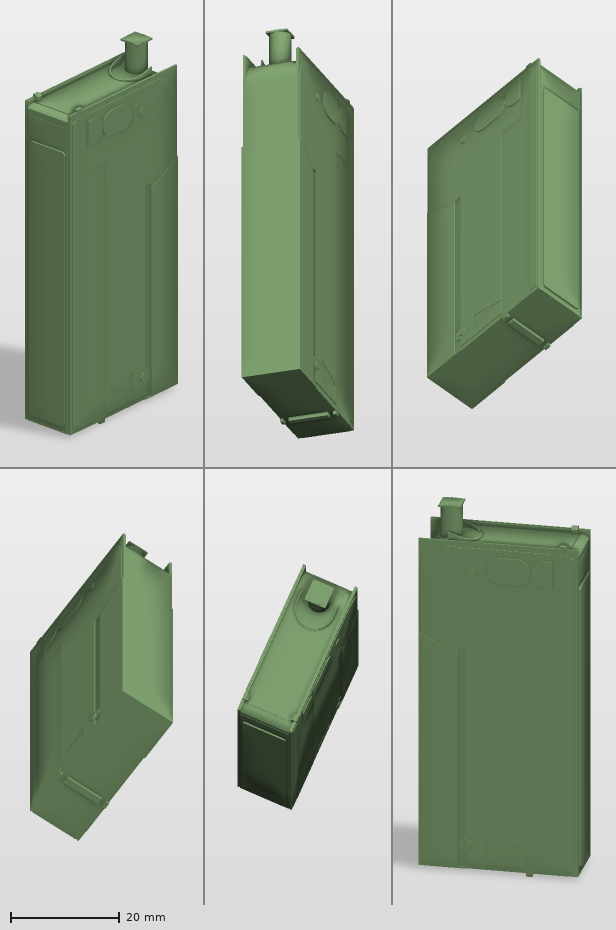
import cadquery as cq

total_width = 11.6
total_depth = 30.45
total_height = 71.3
back_y = total_depth / 2
panel_front_y = -total_depth / 2

case_width = 9.85
case_bottom_z = 0.7
case_top_z = 64.9
panel_proud = 0.3
front_y = panel_front_y + panel_proud
back_fillet = 5.0
brow_start_y = -13.35
brow_end_z = 64.2
brow_band_bottom_z = 63.0
brow_band_depth = 0.1

foot_width = 7.7
foot_front_y = -6.35
foot_back_y = -5.05

top_groove_width = 0.35
top_groove_depth = 0.15
top_groove_y = -12.9

recess_width = 9.0
recess_bottom_z = 1.0
recess_top_z = 58.85
recess_depth = 0.1
panel_width = 8.7
panel_bottom_z = 2.1
panel_top_z = 58.0
panel_corner = 0.7

pin_y = 10.1
pin_radius = 2.105
pin_seat_depth = 1.4
pin_cap_thickness = 0.35
pin_tip_height = 0.1

rim_reach = 5.6
rim_inner_half = 3.5
rim_outer_half = 3.8
rim_groove_half = 4.2
rim_groove_depth = 0.15
rim_top_z = 66.6

plate_inner_x = case_width / 2
base_x = 5.5
front_field_x = 5.55
field_x = 5.6
grip_pad_x = 5.7
button_x = total_width / 2
plate_top_z = 65.75
plate_ledge_x = 5.2
plate_ledge_drop = 0.15

top_tab_inner_x = 4.35
top_tab_front_y = -12.8
top_tab_back_y = -11.5
top_tab_top_z = 66.25
top_tab_chamfer = 0.4

field_back_y = 14.75
field_front_y = -14.3
field_top_z = 64.6
field_back_radius = 4.6
field_bevel_y = -12.6
field_bevel_z = 63.8
field_bottom_z = 1.85

front_field_y = -4.9
front_field_step_y = -10.1
front_field_step_z = 52.7

pad_back_z = 47.2
pad_front_z = 42.15
slot_front_y = 6.1
slot_back_y = 7.8
slot_bottom_z = 1.0
slot_top_z = 44.3
slot_island_radius = 1.4

button_bottom_z = 58.0
button_top_z = 63.1
long_button_back_y = 2.3
long_button_front_y = -5.9
open_button_back_y = -6.05

stud_radius = 0.85
upper_stud = (5.3, 59.7)
lower_stud = (5.6, 5.5)

arrow_base_y = 2.65
arrow_tip_y = -5.05
arrow_z = 5.55
arrow_half_height = 2.1


def block(x0, x1, y0, y1, z0, z1):
    """Box between two opposite corners."""
    return cq.Workplane("XY").box(x1 - x0, y1 - y0, z1 - z0, centered=False).translate((x0, y0, z0))


def side_sketch(x):
    """Workplane on the side of the part at distance x, drawn in (Y, Z)."""
    return cq.Workplane("YZ", origin=(x, 0, 0))


def outlet_shape(half_width, bottom_z, top_z):
    """U-shaped prism: open to the back, with a round front end ahead of the pin."""
    front = pin_y - rim_reach - (half_width - rim_outer_half)
    arc_centre_y = front + half_width
    return (
        cq.Workplane("XY", origin=(0, 0, bottom_z))
        .moveTo(-half_width, back_y)
        .lineTo(-half_width, arc_centre_y)
        .threePointArc((0, front), (half_width, arc_centre_y))
        .lineTo(half_width, back_y)
        .close()
        .extrude(top_z - bottom_z)
    )


def outlet_rim():
    """Thin wall in front of the pin axis; its top slopes down to the case."""
    wall = outlet_shape(rim_outer_half, case_top_z - rim_groove_depth, rim_top_z)
    wall = wall.cut(outlet_shape(rim_inner_half, case_top_z - rim_groove_depth, rim_top_z))
    slope = (
        side_sketch(-rim_outer_half)
        .polyline([
            (pin_y, case_top_z - rim_groove_depth),
            (pin_y, rim_top_z),
            (pin_y - rim_reach, case_top_z),
            (pin_y - rim_reach, case_top_z - rim_groove_depth),
        ])
        .close()
        .extrude(2 * rim_outer_half)
    )
    return wall.intersect(slope)


def front_panel():
    """Rounded panel standing in the front recess."""
    thickness = panel_proud + recess_depth
    return (
        block(-panel_width / 2, panel_width / 2, panel_front_y, panel_front_y + thickness,
              panel_bottom_z, panel_top_z)
        .edges("|Y")
        .fillet(panel_corner)
    )


def case_block():
    """Block with a round top back edge and a shallow arched brow above its front face."""
    brow_run = brow_start_y - front_y
    brow_drop = case_top_z - brow_end_z
    brow_radius = (brow_run**2 + brow_drop**2) / (2 * brow_drop)
    return (
        side_sketch(-case_width / 2)
        .moveTo(front_y, case_bottom_z)
        .lineTo(front_y, brow_end_z)
        .radiusArc((brow_start_y, case_top_z), brow_radius)
        .lineTo(back_y - back_fillet, case_top_z)
        .radiusArc((back_y, case_top_z - back_fillet), back_fillet)
        .lineTo(back_y, case_bottom_z)
        .close()
        .extrude(case_width)
    )


def outlet_groove():
    """Shallow groove around the outlet that follows the top and the round back edge."""
    ring = outlet_shape(rim_groove_half, case_top_z - back_fillet, case_top_z)
    ring = ring.cut(outlet_shape(rim_inner_half, case_top_z - back_fillet, case_top_z))
    return ring.cut(case_block().translate((0, 0, -rim_groove_depth)))


def make_case():
    """Case with its front panel, outlet rim, foot bar and a round seat for the pin."""
    half = case_width / 2
    case = case_block()
    case = case.cut(block(-half, half, front_y, front_y + brow_band_depth, brow_band_bottom_z, case_top_z))

    case = case.cut(block(-recess_width / 2, recess_width / 2, front_y, front_y + recess_depth,
                          recess_bottom_z, recess_top_z))
    case = case.union(front_panel())

    case = case.cut(block(-half, half, top_groove_y - top_groove_width, top_groove_y,
                          case_top_z - top_groove_depth, case_top_z))

    case = case.cut(outlet_groove()).union(outlet_rim())

    case = case.union(block(-foot_width / 2, foot_width / 2, foot_front_y, foot_back_y, 0, case_bottom_z))

    seat = (
        cq.Workplane("XY", origin=(0, pin_y, case_top_z - pin_seat_depth))
        .circle(pin_radius)
        .extrude(pin_seat_depth)
    )
    return case.cut(seat)


def make_pin():
    """Round pin whose tip stands just above a thin square cap as wide as the pin."""
    cap_top_z = total_height - pin_tip_height
    seat_z = case_top_z - pin_seat_depth
    shaft = cq.Workplane("XY", origin=(0, pin_y, seat_z)).circle(pin_radius).extrude(total_height - seat_z)
    cap = (
        cq.Workplane("XY", origin=(0, pin_y, cap_top_z - pin_cap_thickness))
        .rect(2 * pin_radius, 2 * pin_radius)
        .extrude(pin_cap_thickness)
    )
    return shaft.union(cap)


def plate_field():
    """Slightly raised area of the plate, round at the top back corner and bevelled at the front."""
    corner_y = field_back_y - field_back_radius
    corner_z = field_top_z - field_back_radius
    return (
        side_sketch(base_x)
        .moveTo(field_front_y, case_bottom_z)
        .lineTo(field_front_y, field_bevel_z)
        .lineTo(field_bevel_y, field_top_z)
        .lineTo(corner_y, field_top_z)
        .radiusArc((field_back_y, corner_z), field_back_radius)
        .lineTo(field_back_y, case_bottom_z)
        .close()
        .extrude(field_x - base_x)
    )


def front_field():
    """Stepped area along the front, a little lower than the rest of the field."""
    return (
        side_sketch(front_field_x)
        .polyline([
            (front_field_y, case_bottom_z),
            (front_field_y, front_field_step_z),
            (front_field_step_y, front_field_step_z),
            (front_field_step_y, field_top_z),
            (field_bevel_y, field_top_z),
            (field_bevel_y, case_bottom_z),
        ])
        .close()
        .extrude(field_x - front_field_x)
    )


def grip_pad():
    """Raised lower back area with a sloping upper edge."""
    return (
        side_sketch(base_x)
        .polyline([
            (back_y, case_bottom_z),
            (back_y, pad_back_z),
            (slot_front_y, pad_front_z),
            (slot_front_y, case_bottom_z),
        ])
        .close()
        .extrude(grip_pad_x - base_x)
    )


def pad_slot():
    """Upright slot along the front of the grip pad, leaving a half-round island."""
    slot = block(base_x, grip_pad_x, slot_front_y, slot_back_y, slot_bottom_z, slot_top_z)
    island = (
        side_sketch(base_x)
        .center(slot_front_y, lower_stud[1])
        .circle(slot_island_radius)
        .extrude(field_x - base_x)
    )
    return slot.cut(island)


def buttons():
    """A full oval and, in front of it, an oval cut off at the stepped area."""
    height = button_top_z - button_bottom_z
    radius = height / 2
    middle_z = (button_top_z + button_bottom_z) / 2
    long_button = (
        side_sketch(base_x)
        .center((long_button_back_y + long_button_front_y) / 2, middle_z)
        .slot2D(long_button_back_y - long_button_front_y, height)
        .extrude(button_x - base_x)
    )
    open_button = (
        side_sketch(base_x)
        .moveTo(front_field_step_y, button_top_z)
        .lineTo(open_button_back_y - radius, button_top_z)
        .threePointArc((open_button_back_y, middle_z), (open_button_back_y - radius, button_bottom_z))
        .lineTo(front_field_step_y, button_bottom_z)
        .close()
        .extrude(button_x - base_x)
    )
    return long_button.union(open_button)


def arrow():
    """Triangle sunk into the field, pointing to the front."""
    return (
        side_sketch(front_field_x)
        .polyline([
            (arrow_base_y, arrow_z - arrow_half_height),
            (arrow_base_y, arrow_z + arrow_half_height),
            (arrow_tip_y, arrow_z),
        ])
        .close()
        .extrude(field_x - front_field_x)
    )


def field_bottom_strips():
    """Strips along the lower edge, on both sides of the front field, where the field stops short."""
    middle = block(base_x, field_x, front_field_y, slot_front_y, case_bottom_z, field_bottom_z)
    front = block(base_x, field_x, field_front_y, field_bevel_y, case_bottom_z, field_bottom_z)
    return middle.union(front)


def plate_ledges():
    """Small steps that lower the inner part of the plate's top and front edges."""
    top = block(plate_inner_x, plate_ledge_x, front_y, back_y, plate_top_z - plate_ledge_drop, plate_top_z)
    front = block(plate_inner_x, plate_ledge_x, front_y, front_y + plate_ledge_drop,
                  case_bottom_z, plate_top_z)
    return top.union(front)


def top_tab():
    """Tab on the plate's top edge that reaches inward over the case."""
    tab = block(top_tab_inner_x, base_x, top_tab_front_y, top_tab_back_y, case_top_z, top_tab_top_z)
    return tab.edges("|Y and <X and >Z").chamfer(top_tab_chamfer)


def make_side_plate(side):
    """Side plate on +X (side = 1) or, mirrored, on -X (side = -1)."""
    plate = block(plate_inner_x, base_x, front_y, back_y, case_bottom_z, plate_top_z)
    plate = plate.cut(plate_ledges())
    plate = plate.union(plate_field()).cut(field_bottom_strips()).cut(front_field()).cut(arrow())
    plate = plate.union(grip_pad()).cut(pad_slot()).union(buttons())

    stud_outlines = side_sketch(base_x).pushPoints([upper_stud, lower_stud]).circle(stud_radius)
    plate = plate.union(stud_outlines.extrude(button_x - base_x))

    plate = plate.union(top_tab())
    plate = plate.union(block(plate_inner_x, base_x, foot_front_y, foot_back_y, 0, case_bottom_z))
    return plate if side > 0 else plate.mirror("YZ")


case = make_case()
pin = make_pin()
side_plates = [make_side_plate(side) for side in (-1, 1)]

result = cq.Compound.makeCompound([case.val(), pin.val(), *[plate.val() for plate in side_plates]])